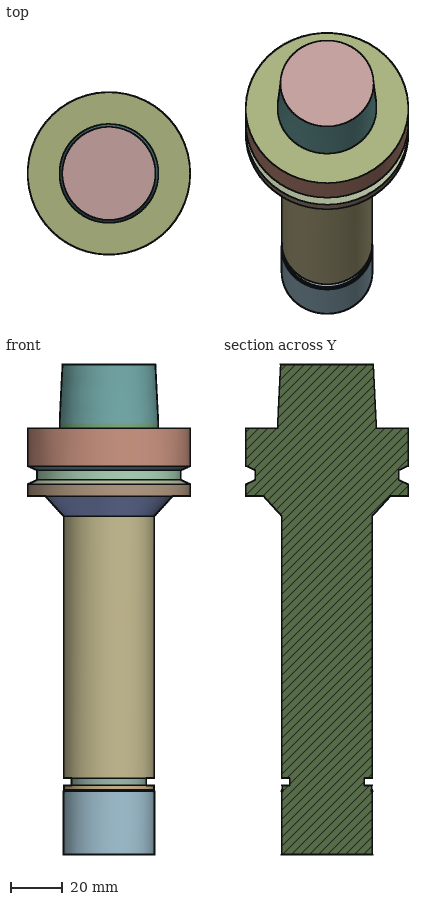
import cadquery as cq
import math

total_height = 190.0
nut_height = 24.5
score_height = 0.5
relief_bottom = 26.8
relief_top = 29.6
cone_bottom = 131.1
flange_bottom = 138.9
flange_top = 165.3
neck_height = 1.7

nut_diameter = 35.3
score_diameter = 34.5
nut_rim_diameter = 35.0
shank_diameter = 35.2
relief_diameter = 29.0
cone_diameter = 49.4
flange_diameter = 63.0
gripper_diameter = 55.9
taper_base_diameter = 38.4
taper_tip_diameter = 36.1

gripper_center = 147.0
gripper_width = 7.0
gripper_wall_angle = 25.0


def cylinder(diameter, bottom, top):
    return cq.Workplane("XY").workplane(offset=bottom).circle(diameter / 2).extrude(top - bottom)


def cone(bottom_diameter, top_diameter, bottom, top):
    return (
        cq.Workplane("XY")
        .workplane(offset=bottom)
        .circle(bottom_diameter / 2)
        .workplane(offset=top - bottom)
        .circle(top_diameter / 2)
        .loft(ruled=True)
    )


def gripper_groove():
    outer_radius = flange_diameter / 2
    inner_radius = gripper_diameter / 2
    wall_rise = (outer_radius - inner_radius) * math.tan(math.radians(gripper_wall_angle))
    bottom = gripper_center - gripper_width / 2
    top = gripper_center + gripper_width / 2
    return (
        cq.Workplane("XZ")
        .moveTo(outer_radius, bottom)
        .lineTo(inner_radius, bottom + wall_rise)
        .lineTo(inner_radius, top - wall_rise)
        .lineTo(outer_radius, top)
        .close()
        .revolve(360, (0, 0, 0), (0, 1, 0))
    )


score_top = nut_height + score_height
nut = (
    cylinder(nut_diameter, 0, nut_height)
    .union(cylinder(score_diameter, nut_height, score_top))
    .union(cylinder(nut_rim_diameter, score_top, relief_bottom))
)

relief = cylinder(relief_diameter, relief_bottom, relief_top)
shank = cylinder(shank_diameter, relief_top, cone_bottom)
flare = cone(shank_diameter, cone_diameter, cone_bottom, flange_bottom)
flange = cylinder(flange_diameter, flange_bottom, flange_top).cut(gripper_groove())

neck_top = flange_top + neck_height
neck = cylinder(taper_base_diameter, flange_top, neck_top)
taper = cone(taper_base_diameter, taper_tip_diameter, neck_top, total_height)

result = nut
for section in (relief, shank, flare, flange, neck, taper):
    result = result.union(section)